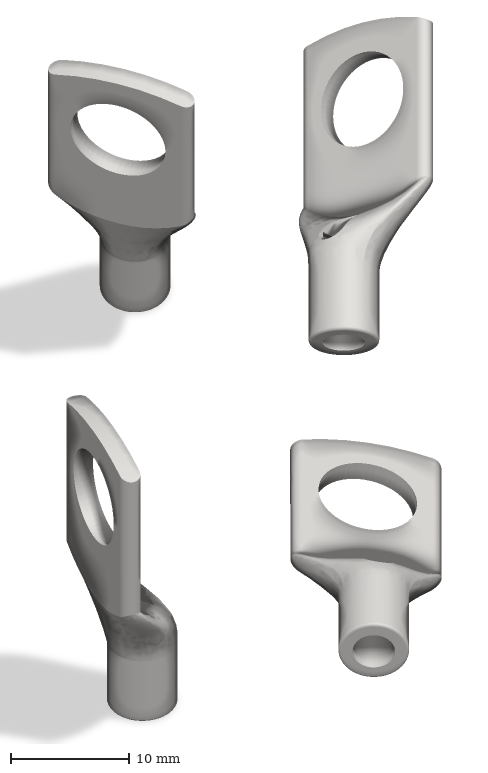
import math

import cadquery as cq


barrel_radius = 6.0 / 2
bore_radius = 3.6 / 2
barrel_height = 6.5
barrel_edge_round = 0.25
barrel_y = 4.5
bore_depth = 10.0

palm_width = 13.0
palm_thickness = 1.8
overall_height = 30.18
bolt_hole_drop = 7.0
palm_top_radius = 20.0
bolt_hole_radius = 8.5 / 2
bolt_hole_z = overall_height - bolt_hole_drop
palm_root_radius = 10.5
palm_edge_radius = palm_thickness / 2
palm_flat_half = palm_width / 2 - palm_edge_radius

seam_offset = 1.0
side_bend = 1.8
bend_spread = 0.75
widening_delay = 1.1
neck_stages = 5
patch_count = 4
points_per_patch = 9
sewing_tolerance = 0.001

window_width = 2.5
window_bottom = 8.6
window_top = 11.68
window_floor_y = 4.53
window_top_y = 3.87
window_ramp_start = 10.5
window_reach = 3.0


def make_palm():
    """Flat bar with fully rounded long edges and curved ends, without the bolt hole."""
    bar = (
        cq.Workplane("XY")
        .center(0, palm_edge_radius)
        .slot2D(palm_width, palm_thickness)
        .extrude(overall_height)
    )
    top_cylinder = (
        cq.Workplane("XZ")
        .center(0, overall_height - palm_top_radius)
        .circle(palm_top_radius)
        .extrude(palm_thickness * 2, both=True)
    )
    root_cylinder = (
        cq.Workplane("XZ")
        .center(0, bolt_hole_z)
        .circle(palm_root_radius)
        .extrude(palm_thickness * 2, both=True)
    )
    upper_half = cq.Workplane("XY").box(
        2 * palm_width, 4 * palm_thickness, overall_height, centered=(True, True, False)
    ).translate((0, 0, bolt_hole_z))
    return bar.intersect(top_cylinder).intersect(root_cylinder.union(upper_half))


def barrel_point(patch, share):
    """Point on the top rim of the barrel; patches run front, right, back, left."""
    seam_angle = math.asin(seam_offset / barrel_radius)
    patch_limits = [
        (-math.pi + seam_angle, -seam_angle),
        (-seam_angle, seam_angle),
        (seam_angle, math.pi - seam_angle),
        (math.pi - seam_angle, math.pi + seam_angle),
    ]
    start, end = patch_limits[patch]
    angle = start + (end - start) * share
    return (
        barrel_radius * math.cos(angle),
        barrel_y + barrel_radius * math.sin(angle),
        barrel_height,
    )


def palm_point(patch, share):
    """Point on the rim of the curved lower end of the palm."""
    root_angle = math.asin(palm_flat_half / palm_root_radius)
    sweep = palm_root_radius * math.sin(root_angle * (2 * share - 1))
    turn = math.pi * (share - 0.5)
    side_x = palm_flat_half + palm_edge_radius * math.cos(turn)
    side_y = palm_edge_radius * math.sin(turn)
    x, y = [
        (sweep, 0),
        (side_x, palm_edge_radius + side_y),
        (-sweep, palm_thickness),
        (-side_x, palm_edge_radius - side_y),
    ][patch]
    return x, y, bolt_hole_z - math.sqrt(palm_root_radius**2 - x**2)


def neck_point(patch, share, rise):
    """Point of the neck at a fraction of the way from the barrel to the palm."""
    x0, y0, z0 = barrel_point(patch, share)
    x1, y1, z1 = palm_point(patch, share)
    bend = side_bend + bend_spread * (y0 - barrel_y) / barrel_radius
    widening = (rise**2 * (3 - 2 * rise)) ** widening_delay
    return cq.Vector(
        x0 + (x1 - x0) * widening,
        y0 + (y1 - y0) * rise**bend,
        z0 + (z1 - z0) * rise,
    )


def neck_section(stage):
    """Closed outline of the neck made of four curves that meet at the seams."""
    edges = []
    for patch in range(patch_count):
        points = [
            neck_point(patch, i / (points_per_patch - 1), stage / neck_stages)
            for i in range(points_per_patch)
        ]
        if stage == 0:
            edges.append(cq.Edge.makeThreePointArc(points[0], points[len(points) // 2], points[-1]))
        else:
            edges.append(cq.Edge.makeSpline(points))
    return cq.Wire.assembleEdges(edges)


def make_neck_and_palm():
    """One solid: the palm with its curved lower end replaced by the neck, closed at the barrel."""
    palm = make_palm()
    root_face = palm.faces("<Z").val()
    sections = [neck_section(stage) for stage in range(neck_stages)]
    sections.append(root_face.outerWire())
    neck_sides = cq.Solid.makeLoft(sections).Faces()
    barrel_end = cq.Face.makeFromWires(sections[0])
    palm_faces = [face for face in palm.faces().vals() if not face.isSame(root_face)]
    skin = palm_faces + neck_sides + [barrel_end]
    return cq.Workplane(cq.occ_impl.shapes.solid(skin, tol=sewing_tolerance))


def make_barrel():
    """Plain cylinder with a rounded lower edge."""
    return (
        cq.Workplane("XY")
        .center(0, barrel_y)
        .circle(barrel_radius)
        .extrude(barrel_height)
        .faces("<Z")
        .edges()
        .fillet(barrel_edge_round)
    )


def make_bolt_hole():
    """Cutter through the palm along y."""
    return (
        cq.Workplane("XZ")
        .center(0, bolt_hole_z)
        .circle(bolt_hole_radius)
        .extrude(2 * palm_thickness, both=True)
    )


def make_bore():
    """Blind wire bore along the barrel axis."""
    return cq.Workplane("XY").center(0, barrel_y).circle(bore_radius).extrude(bore_depth)


def make_window():
    """Slot into the bore from the back: round lower end, floor that ramps out to the upper end."""
    half_width = window_width / 2
    reach_y = barrel_y + barrel_radius + window_reach
    outline = (
        cq.Workplane("XZ")
        .moveTo(-half_width, window_top)
        .lineTo(-half_width, window_bottom + half_width)
        .threePointArc((0, window_bottom), (half_width, window_bottom + half_width))
        .lineTo(half_width, window_top)
        .close()
        .extrude(-reach_y)
    )
    depth_profile = (
        cq.Workplane("YZ")
        .moveTo(reach_y, window_bottom)
        .lineTo(window_floor_y, window_bottom)
        .lineTo(window_floor_y, window_ramp_start)
        .lineTo(window_top_y, window_top)
        .lineTo(reach_y, window_top)
        .close()
        .extrude(window_width, both=True)
    )
    return outline.intersect(depth_profile)


result = (
    make_neck_and_palm()
    .union(make_barrel())
    .cut(make_bolt_hole())
    .cut(make_bore())
    .cut(make_window())
)